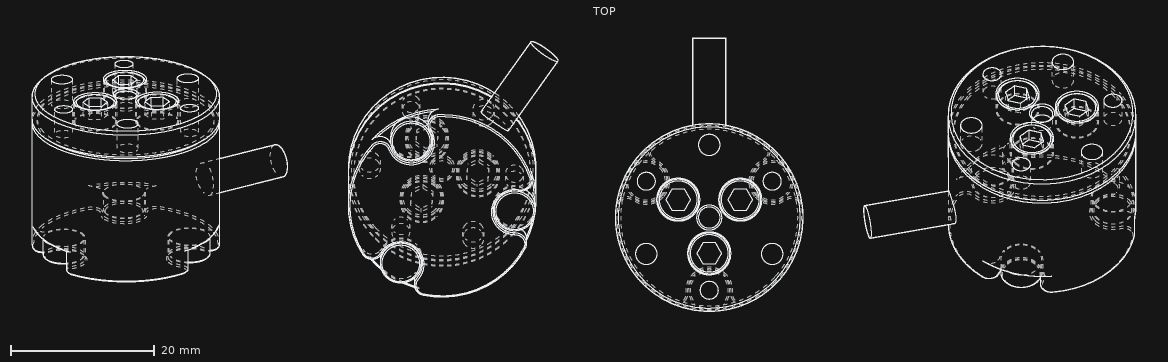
import cadquery as cq
import math

body_diameter = 26.2
body_radius = body_diameter / 2
body_height = 23.0
flange_thickness = 3.78
groove_width = 0.57
groove_radius = 12.35
top_chamfer = 0.42
bottom_chamfer = 0.23

overall_length = 38.15
cable_radius = 2.33
cable_height = 6.85
cable_end = overall_length - body_radius

hole_circle_radius = 10.15
plain_hole_radius = 1.5
thread_hole_radius = 1.25
centre_hole_radius = 1.5
centre_hole_depth = 2.0
centre_hole_chamfer = 0.25
hole_depth = flange_thickness
plain_hole_angles = (90, 210, 330)
screw_angles = (30, 150, 270)

head_radius = 2.85
head_height = 3.0
head_chamfer = 0.23
counterbore_radius = 3.0
hex_across_flats = 2.98
hex_depth = 2.0
top_screw_circle_radius = 5.0
top_head_recess = 0.1

notch_height = 3.3
notch_lip_chamfer = 0.23
notch_half_width = counterbore_radius
notch_corner_radius = 1.53
bottom_head_recess = 0.5


def polar(radius, angle):
    """Point on a circle about the body axis, with the angle in degrees."""
    turn = math.radians(angle)
    return (radius * math.cos(turn), radius * math.sin(turn))


def revolve_about_z(points):
    """Full turn of a closed (radius, height) outline about the body axis."""
    return cq.Workplane("XZ").polyline(points).close().revolve(360, (0, 0, 0), (0, 1, 0))


def cylinder(centre, radius, bottom, height):
    return cq.Workplane("XY", origin=(*centre, bottom)).circle(radius).extrude(height)


def make_body():
    flange_bottom = body_height - flange_thickness
    groove_bottom = flange_bottom - groove_width
    return revolve_about_z([
        (0, 0),
        (body_radius, 0),
        (body_radius, groove_bottom),
        (groove_radius, groove_bottom),
        (groove_radius, flange_bottom),
        (body_radius, flange_bottom),
        (body_radius, body_height - top_chamfer),
        (body_radius - top_chamfer, body_height),
        (0, body_height),
    ])


def make_cable():
    plane = cq.Plane(origin=(0, 0, cable_height), xDir=(1, 0, 0), normal=(0, 1, 0))
    return cq.Workplane(plane).circle(cable_radius).extrude(cable_end)


def top_hole(centre, radius, depth):
    return cylinder(centre, radius, body_height - depth, depth)


def make_centre_hole():
    """Blind hole on the body axis with a chamfered mouth."""
    floor = body_height - centre_hole_depth
    return revolve_about_z([
        (0, floor),
        (centre_hole_radius, floor),
        (centre_hole_radius, body_height - centre_hole_chamfer),
        (centre_hole_radius + centre_hole_chamfer, body_height),
        (0, body_height),
    ])


def make_top_head(centre):
    """Socket head seated on the counterbore floor, with its flats facing +Y and -Y."""
    head_bottom = body_height - top_head_recess - head_height
    head = cylinder(centre, head_radius, head_bottom, head_height).faces(">Z").chamfer(head_chamfer)
    hex_corner_diameter = hex_across_flats / math.cos(math.radians(30))
    return head.faces(">Z").workplane(origin=(*centre, 0)).polygon(6, hex_corner_diameter).cutBlind(-hex_depth)


def make_notch(angle):
    """Round-ended slot whose mouth flares through corner arcs tangent to the housing wall."""
    corner_x = notch_half_width + notch_corner_radius
    corner_circle_radius = body_radius - notch_corner_radius
    corner_y = math.sqrt(corner_circle_radius**2 - corner_x**2)
    corner_angle = math.atan2(corner_y, corner_x)
    arc_middle_angle = (math.pi + corner_angle) / 2
    middle_x = corner_x + notch_corner_radius * math.cos(arc_middle_angle)
    middle_y = corner_y + notch_corner_radius * math.sin(arc_middle_angle)
    mouth_x, mouth_y = polar(body_radius, math.degrees(corner_angle))
    clear_radius = body_radius + notch_corner_radius
    clear_x, clear_y = polar(clear_radius, math.degrees(corner_angle))

    slot = (
        cq.Workplane("XY")
        .moveTo(-notch_half_width, hole_circle_radius)
        .threePointArc((0, hole_circle_radius - notch_half_width), (notch_half_width, hole_circle_radius))
        .lineTo(notch_half_width, corner_y)
        .threePointArc((middle_x, middle_y), (mouth_x, mouth_y))
        .lineTo(clear_x, clear_y)
        .threePointArc((0, clear_radius), (-clear_x, clear_y))
        .lineTo(-mouth_x, mouth_y)
        .threePointArc((-middle_x, middle_y), (-notch_half_width, corner_y))
        .close()
        .extrude(body_height)
    )
    lip_height = notch_height + notch_lip_chamfer
    ceiling = revolve_about_z([
        (0, 0),
        (clear_radius, 0),
        (clear_radius, lip_height),
        (body_radius, lip_height),
        (body_radius - notch_lip_chamfer, notch_height),
        (0, notch_height),
    ])
    return slot.intersect(ceiling).rotate((0, 0, 0), (0, 0, 1), angle - 90)


def make_bottom_head(centre):
    height = notch_height - bottom_head_recess
    return cylinder(centre, head_radius, bottom_head_recess, height).faces("<Z").chamfer(head_chamfer)


result = make_body()
for angle in screw_angles:
    result = result.cut(make_notch(angle))
result = result.faces("<Z").chamfer(bottom_chamfer)
result = result.union(make_cable()).cut(make_centre_hole())

for angle in plain_hole_angles:
    result = result.cut(top_hole(polar(hole_circle_radius, angle), plain_hole_radius, hole_depth))

for angle in screw_angles:
    outer_centre = polar(hole_circle_radius, angle)
    inner_centre = polar(top_screw_circle_radius, angle)
    result = result.cut(top_hole(outer_centre, thread_hole_radius, hole_depth))
    result = result.cut(top_hole(inner_centre, counterbore_radius, top_head_recess + head_height))
    result = result.union(make_top_head(inner_centre))
    result = result.union(make_bottom_head(outer_centre))